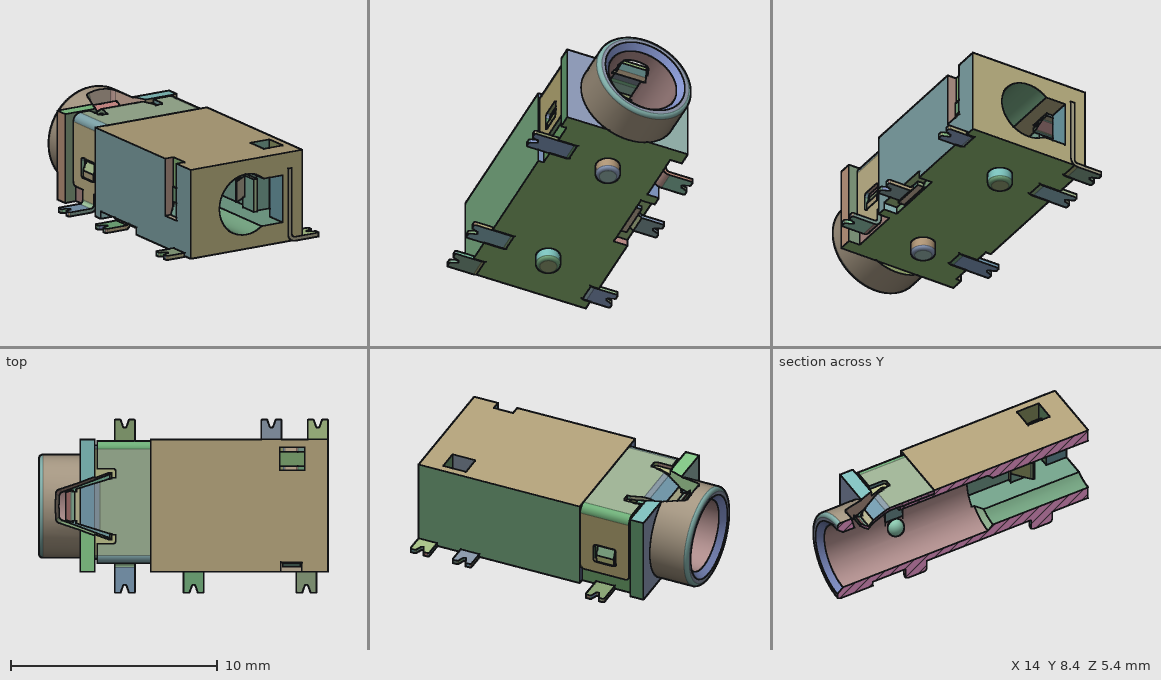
import cadquery as cq
import math


length = 14.0
body_left = 3.23
body_right = -3.18
body_height = 4.5
axis_z = body_height / 2
barrel_radius = 2.5
barrel_length = 2.0
barrel_rim = 0.2
flange_back = 2.72
block_front = 5.4

bore_radius = 1.8
mouth_radius = 2.11
mouth_depth = 0.31
rear_bore_radius = 1.53
taper_start = 8.4
taper_end = 8.68

peg_radius = 0.6
peg_length = 0.65
peg_rim = 0.18
peg_centers = (4.4, 11.4)

sheet = 0.21
tail_width = 1.0
tail_reach = 4.2
tail_bottom = -0.04
tail_top = tail_bottom + sheet
notch_mouth = 0.4
notch_root = 0.13
notch_depth = 0.39
tail_rounding = 0.07

shell_front = 2.81
shell_left = 3.16
shell_right = -2.77
shell_top = 4.48
shell_skirt = 0.85
shell_bend = 0.39
shell_tail_x = 4.16
skirt_rounding = 0.2
tail_bend = 0.18
slot_end = 3.72
slot_outer = 1.82
slot_rounding = 0.14
tongue_root_x = 3.57
tongue_root_half = 1.37
tongue_tip_x = 1.3
tongue_tip_half = 0.67
tongue_tip_z = 4.2
tongue_curl_x = 1.54
tongue_curl_z = 3.96
tongue_low_x = 1.74
tongue_low_z = 3.82
tongue_knee_x = 2.0
tongue_knee_z = 4.09
tongue_bend_x = 2.67
tongue_flat_x = 2.94
tongue_bend_z = 4.41

window_x = 4.1
window_width = 1.2
window_bottom = 1.44
window_height = 1.01
window_rounding = 0.17
latch_width = 0.92
latch_bottom = 1.47
latch_shoulder = 1.82
latch_top = 2.27
latch_inset = 0.03

opening_tip_x = 0.8
opening_tip_half = 0.78
opening_end_half = 1.74
opening_end_x = 3.36
opening_back = 3.64
opening_rounding = 0.22
opening_draft = 14.0
opening_depth = 0.84

bay_x = (11.65, 12.87)
bay_y = (1.75, 2.84)
pocket_start = 8.26
pocket_bottom = 1.01
pocket_top = 3.39
pocket_side = 2.1
side_recess_x = (11.7, 12.73)
side_recess_y = -2.7
side_recess_bottom = 1.61
foot_recess_x = (5.91, 9.1)
foot_recess_height = 0.38
foot_recess_y = -2.45

sleeve_x = shell_tail_x
sleeve_plate_y = 1.74
sleeve_plate_top = 2.67
sleeve_bump_radius = 0.45
sleeve_bump_tip = 1.18
sleeve_bump_z = 1.3

ring_x = 7.49
ring_plate_y = -1.74
ring_plate_top = 2.1
ring_plate_width = 1.79
ring_jog_start = -2.98
ring_jog_end = -2.8
ring_base_top = 0.34
ring_bump_radius = 0.31
ring_bump_tip = -1.43
ring_bump_z = 1.58

tip_x = 11.25
tip_plate_y = 1.88
tip_finger_z = (1.6, 2.65)
tip_finger_y = 1.0
tip_finger_lean = 0.63
tip_finger_bevel = 0.11

switch_x = length - tail_width / 2
switch_bridge_y = (1.95, 2.63)
switch_bridge_top = 3.67
switch_bridge_rounding = 0.03
switch_step_rounding = 0.21
switch_step_x = (11.86, 12.49)
switch_step_drop = 0.25

side_x = 12.95
side_plate_y = -2.75
side_plate_top = 3.01
side_wedge_x = (11.82, 12.65)
side_wedge_y = -2.93
side_wedge_bottom = 1.64
side_wedge_shoulder = 2.18
side_wedge_ledge = 0.01
side_wedge_top = 2.27


def box(x_range, y_range, z_range):
    """Box between two limits on each axis."""
    x0, y0, z0 = min(x_range), min(y_range), min(z_range)
    x1, y1, z1 = max(x_range), max(y_range), max(z_range)
    return cq.Workplane("XY").box(x1 - x0, y1 - y0, z1 - z0, centered=False).translate((x0, y0, z0))


def yz_prism(points, x_range):
    """Outline given as (y, z) points, extruded between two X limits."""
    return cq.Workplane("YZ", origin=(x_range[0], 0, 0)).polyline(points).close().extrude(x_range[1] - x_range[0])


def span(center, width):
    """Lower and upper limit of a width about a center."""
    return (center - width / 2, center + width / 2)


def x_edge_at(x_range, y, z):
    """Selector for the edge along X that lies at the given Y and Z."""
    margin = 0.01
    return cq.selectors.BoxSelector(
        (x_range[0], y - margin, z - margin), (x_range[1], y + margin, z + margin)
    )


def tail(x_center, inner_y):
    """Flat solder tail with a notched end, reaching out on the side where inner_y lies."""
    side = math.copysign(1, inner_y)
    plate = box(span(x_center, tail_width), (inner_y, side * tail_reach), (tail_bottom, tail_top))
    notch_end = side * (tail_reach - notch_depth)
    notch = (
        cq.Workplane("XY", origin=(x_center, 0, tail_bottom))
        .moveTo(-notch_mouth / 2, side * tail_reach)
        .lineTo(-notch_root / 2, notch_end)
        .lineTo(notch_root / 2, notch_end)
        .lineTo(notch_mouth / 2, side * tail_reach)
        .close()
        .extrude(sheet)
    )
    notched_end = cq.selectors.BoxSelector(
        (x_center - tail_width, side * (tail_reach - 2 * notch_depth), tail_bottom),
        (x_center + tail_width, side * (tail_reach + notch_depth), tail_top),
    )
    return plate.cut(notch).edges("|Z").edges(notched_end).fillet(tail_rounding)


def bent_foot(x_center, face_y, top_z):
    """Upright strip whose foot bends outward into a solder tail; face_y is the strip face nearer the axis."""
    side = math.copysign(1, face_y)
    outer_y = face_y + side * sheet
    strip_x = span(x_center, tail_width)
    strip = box(strip_x, (face_y, outer_y), (tail_bottom, top_z)).union(tail(x_center, face_y))
    strip = strip.edges(x_edge_at(strip_x, outer_y, tail_top)).fillet(tail_bend)
    return strip.edges(x_edge_at(strip_x, face_y, tail_bottom)).fillet(tail_bend + sheet)


def make_bore():
    """Stepped plug bore with a flared mouth and a conical step."""
    return (
        cq.Workplane("XY")
        .moveTo(0, 0)
        .lineTo(0, mouth_radius)
        .lineTo(mouth_depth, bore_radius)
        .lineTo(taper_start, bore_radius)
        .lineTo(taper_end, rear_bore_radius)
        .lineTo(length, rear_bore_radius)
        .lineTo(length, 0)
        .close()
        .revolve(360, (0, 0, 0), (1, 0, 0))
        .translate((0, 0, axis_z))
    )


def make_tongue_opening():
    """Drafted V-shaped opening that leads the tongue into the bore."""
    opening_top = axis_z + barrel_radius
    opening = (
        cq.Workplane("XY", origin=(0, 0, opening_top))
        .moveTo(opening_tip_x, -opening_tip_half)
        .lineTo(opening_end_x, -opening_end_half)
        .lineTo(opening_back, -opening_end_half)
        .lineTo(opening_back, opening_end_half)
        .lineTo(opening_end_x, opening_end_half)
        .lineTo(opening_tip_x, opening_tip_half)
        .close()
        .extrude(-opening_depth, taper=opening_draft)
    )
    tip_corners = cq.selectors.BoxSelector(
        (opening_tip_x, -opening_tip_half, opening_top - opening_depth * 3 / 4),
        (opening_tip_x + opening_depth / 2, opening_tip_half, opening_top - opening_depth / 4),
    )
    return opening.edges(tip_corners).fillet(opening_rounding)


def make_latch(face_y):
    """Wedge that snaps into a shell window; face_y is the outer face of that shell side."""
    side = math.copysign(1, face_y)
    root_y = face_y - side * 2 * sheet
    nose_y = face_y - side * latch_inset
    heel_y = face_y - side * sheet
    outline = [
        (root_y, latch_bottom),
        (nose_y, latch_bottom),
        (nose_y, latch_shoulder),
        (heel_y, latch_top),
        (root_y, latch_top),
    ]
    return yz_prism(outline, span(window_x, latch_width))


def make_housing():
    """Molded body: barrel, flange, shell core, rear block, pegs and latches, less the bore and recesses."""
    barrel = cq.Workplane("YZ", origin=(0, 0, axis_z)).circle(barrel_radius).extrude(barrel_length)
    barrel = barrel.faces("<X").edges().fillet(barrel_rim)
    flange = box((barrel_length, flange_back), (body_right, body_left), (0, body_height))
    core = box(
        (flange_back, block_front),
        (shell_right + sheet, shell_left - sheet),
        (0, shell_top - sheet),
    ).edges("|X and >Z").fillet(shell_bend - sheet)
    block = box((block_front, length), (body_right, body_left), (0, body_height))
    solid = barrel.union(flange).union(core).union(block)
    for peg_x in peg_centers:
        peg = cq.Workplane("XY", origin=(peg_x, 0, 0)).circle(peg_radius).extrude(-peg_length)
        solid = solid.union(peg.faces("<Z").edges().fillet(peg_rim))
    for face_y in (shell_left, shell_right):
        solid = solid.union(make_latch(face_y))
    solid = solid.cut(make_bore()).cut(make_tongue_opening())
    contact_pocket = box((pocket_start, length), (0, pocket_side), (pocket_bottom, pocket_top))
    top_bay = box(bay_x, bay_y, (pocket_bottom, body_height))
    side_recess = box(side_recess_x, (body_right, side_recess_y), (side_recess_bottom, body_height))
    foot_recess = box(foot_recess_x, (body_right, foot_recess_y), (0, foot_recess_height))
    return solid.cut(contact_pocket).cut(top_bay).cut(side_recess).cut(foot_recess)


def make_shell_slots():
    """Area of the shell top that is open on both sides of the tongue."""
    return (
        box((shell_front, slot_end), (-slot_outer, slot_outer), (shell_top - sheet, shell_top))
        .edges("|Z and >X")
        .fillet(slot_rounding)
    )


def make_tongue():
    """Tapered spring tongue that dips into the bore and turns up at its tip."""
    upper = [
        (slot_end, shell_top),
        (tongue_flat_x, shell_top),
        (tongue_bend_x, tongue_bend_z),
        (tongue_knee_x, tongue_knee_z),
        (tongue_low_x, tongue_low_z),
        (tongue_curl_x, tongue_curl_z),
        (tongue_tip_x, tongue_tip_z),
    ]
    lower = [(x, z - sheet) for x, z in reversed(upper)]
    strip = cq.Workplane("XZ").polyline(upper + lower).close().extrude(slot_outer, both=True)
    plan = (
        cq.Workplane("XY")
        .moveTo(tongue_tip_x, -tongue_tip_half)
        .lineTo(tongue_root_x, -tongue_root_half)
        .lineTo(slot_end, -tongue_root_half)
        .lineTo(slot_end, tongue_root_half)
        .lineTo(tongue_root_x, tongue_root_half)
        .lineTo(tongue_tip_x, tongue_tip_half)
        .close()
        .extrude(shell_top)
    )
    return strip.intersect(plan)


def make_shell():
    """Folded sheet cover with latch windows, a spring tongue and one bent solder tail."""
    outside = box((shell_front, block_front), (shell_right, shell_left), (shell_skirt, shell_top))
    outside = outside.edges("|X and >Z").fillet(shell_bend).edges("|Y and <Z").fillet(skirt_rounding)
    inside = box(
        (shell_front, block_front),
        (shell_right + sheet, shell_left - sheet),
        (shell_skirt, shell_top - sheet),
    ).edges("|X and >Z").fillet(shell_bend - sheet)
    window = (
        box(
            span(window_x, window_width),
            (shell_right, shell_left),
            (window_bottom, window_bottom + window_height),
        )
        .edges("|Y")
        .fillet(window_rounding)
    )
    solid = outside.cut(inside).cut(window).cut(make_shell_slots())
    shell_foot = bent_foot(shell_tail_x, shell_right + sheet, shell_skirt + skirt_rounding)
    return solid.union(make_tongue()).union(shell_foot)


def make_bump(x_center, tip_y, z_center, radius):
    """Ball-shaped contact bump whose tip points at the plug axis."""
    center_y = tip_y + math.copysign(radius, tip_y)
    return cq.Workplane("XY").sphere(radius).translate((x_center, center_y, z_center))


def make_sleeve_terminal():
    """Upright strip in the bore wall with a contact bump facing the plug."""
    foot = bent_foot(sleeve_x, sleeve_plate_y, sleeve_plate_top)
    bump = make_bump(sleeve_x, sleeve_bump_tip, sleeve_bump_z, sleeve_bump_radius)
    bump = bump.intersect(box(span(sleeve_x, tail_width), (0, sleeve_plate_y + sheet), (0, axis_z)))
    return foot.union(bump)


def make_ring_terminal():
    """Plate with a contact bump, on a wide base that jogs down to its solder tail."""
    plate_y = (ring_plate_y - sheet, ring_plate_y)
    base_bottom = ring_base_top - sheet
    plate = box(span(ring_x, tail_width), plate_y, (base_bottom, ring_plate_top))
    base = box(span(ring_x, ring_plate_width), (ring_jog_end, ring_plate_y), (base_bottom, ring_base_top))
    jog_outline = [
        (ring_jog_start, tail_bottom),
        (ring_jog_start, tail_top),
        (ring_jog_end, ring_base_top),
        (ring_jog_end, base_bottom),
    ]
    jog = yz_prism(jog_outline, span(ring_x, tail_width))
    bump = make_bump(ring_x, ring_bump_tip, ring_bump_z, ring_bump_radius)
    bump = bump.intersect(box(span(ring_x, tail_width), (plate_y[0], 0), (0, axis_z)))
    return plate.union(base).union(jog).union(tail(ring_x, ring_jog_start)).union(bump)


def make_tip_terminal():
    """Upright strip with a slanted finger that reaches across the bore."""
    finger_root_x = tip_x - tail_width / 2
    finger_tip_x = finger_root_x + tip_finger_lean
    finger = (
        cq.Workplane("XY", origin=(0, 0, tip_finger_z[0]))
        .moveTo(finger_root_x, tip_plate_y)
        .lineTo(finger_tip_x, tip_finger_y + tip_finger_bevel)
        .lineTo(finger_tip_x + tip_finger_bevel, tip_finger_y)
        .lineTo(finger_tip_x + sheet, tip_finger_y)
        .lineTo(finger_root_x + sheet, tip_plate_y)
        .close()
        .extrude(tip_finger_z[1] - tip_finger_z[0])
    )
    return bent_foot(tip_x, tip_plate_y, tip_finger_z[1]).union(finger)


def make_switch_terminal():
    """Upright strip carrying a bridge across the top bay, with a stepped leaf beneath the bridge."""
    bridge_bottom = switch_bridge_top - sheet
    strip_y = switch_bridge_y[1] - sheet
    bridge = box(bay_x, switch_bridge_y, (bridge_bottom, switch_bridge_top))
    bridge = bridge.edges("|X and >Z").fillet(switch_bridge_rounding)
    arm = box((bay_x[1], switch_x), (strip_y, switch_bridge_y[1]), (bridge_bottom, switch_bridge_top))
    leaf_low = bridge_bottom - switch_step_drop
    leaf_top = [
        (bay_x[0], leaf_low),
        (switch_step_x[0], leaf_low),
        (switch_step_x[1], bridge_bottom),
        (bay_x[1], bridge_bottom),
    ]
    leaf_underside = [(x, z - sheet) for x, z in reversed(leaf_top)]
    leaf = (
        cq.Workplane("XZ", origin=(0, bay_y[1], 0))
        .polyline(leaf_top + leaf_underside)
        .close()
        .extrude(bay_y[1] - bay_y[0])
    )
    step_bends = cq.selectors.BoxSelector(
        (switch_step_x[0] - sheet / 2, bay_y[0], leaf_low - 2 * sheet),
        (switch_step_x[1] + sheet / 2, bay_y[1], bridge_bottom + sheet),
    )
    leaf = leaf.edges("|Y").edges(step_bends).fillet(switch_step_rounding)
    return bent_foot(switch_x, strip_y, switch_bridge_top).union(arm).union(bridge).union(leaf)


def make_side_terminal():
    """Plate behind the side recess, with a wedge that stands out into the recess."""
    plate_x = (side_recess_x[0], side_x)
    plate_back = side_plate_y + sheet
    plate = box(plate_x, (side_plate_y, plate_back), (side_recess_bottom, side_plate_top))
    wedge_outline = [
        (side_plate_y, side_wedge_bottom),
        (side_wedge_y, side_wedge_bottom),
        (side_plate_y - side_wedge_ledge, side_wedge_shoulder),
        (side_plate_y - side_wedge_ledge, side_wedge_top),
        (side_plate_y, side_wedge_top),
    ]
    wedge = yz_prism(wedge_outline, side_wedge_x)
    return bent_foot(side_x, plate_back, side_plate_top).union(plate).union(wedge)


shell = make_shell()
sleeve_terminal = make_sleeve_terminal()
ring_terminal = make_ring_terminal()
tip_terminal = make_tip_terminal()
switch_terminal = make_switch_terminal()
side_terminal = make_side_terminal()

housing = make_housing()
metal_parts = [shell, sleeve_terminal, ring_terminal, tip_terminal, switch_terminal, side_terminal]
for metal_part in metal_parts:
    housing = housing.cut(metal_part)

bodies = [housing] + metal_parts
result = cq.Compound.makeCompound([body.solids().val() for body in bodies])